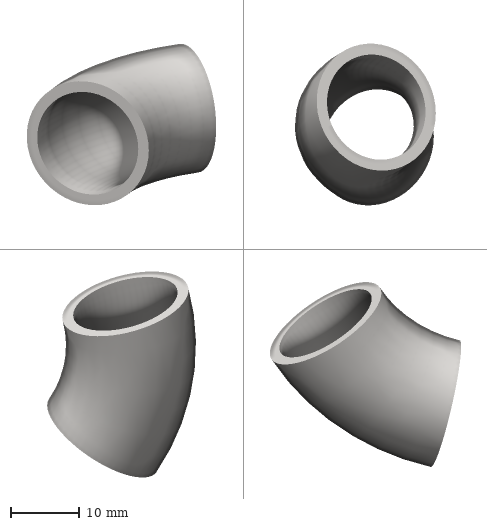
import cadquery as cq
import math

overall_length = 26.95
bend_angle = 45.0
bend_ratio = 1.5
wall = 1.65

outer_bend_radius = overall_length / math.sin(math.radians(bend_angle))
outer_diameter = outer_bend_radius / (bend_ratio + 0.5)
bend_radius = bend_ratio * outer_diameter

outer_radius = outer_diameter / 2
inner_radius = outer_radius - wall


def make_elbow():
    """Turn the ring-shaped inlet face, centered on the origin, about the bend axis toward +Y and +X."""
    inlet_face = cq.Workplane("XZ").circle(outer_radius).circle(inner_radius)
    axis_start = (bend_radius, 0)
    axis_end = (bend_radius, -1)
    return inlet_face.revolve(bend_angle, axis_start, axis_end)


result = make_elbow()